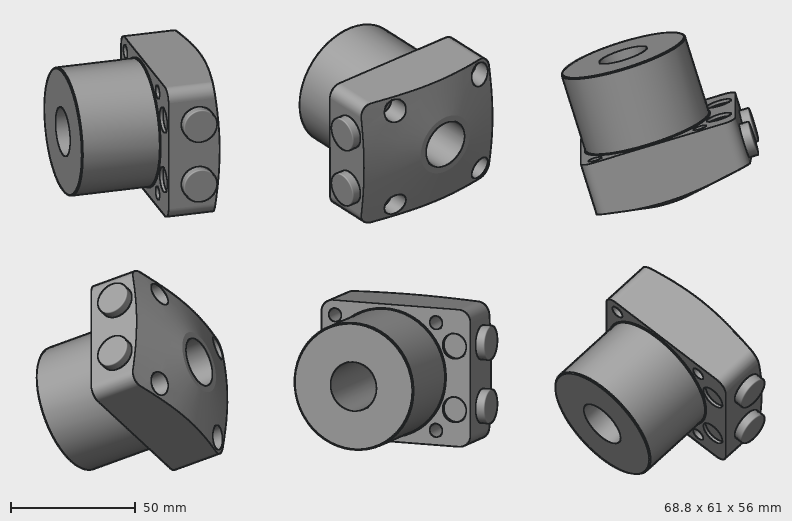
import cadquery as cq
import math


OVERALL_WIDTH = 68.8

BLOCK_WIDTH = 64.95
BLOCK_HEIGHT = 56.0
BLOCK_DEPTH = 28.0
BLOCK_CORNER_RADIUS = 5.0
BLOCK_LEFT_X = -BLOCK_HEIGHT / 2
BLOCK_RIGHT_X = BLOCK_LEFT_X + BLOCK_WIDTH

BACK_FLAT_RADIUS = 12.7
BACK_CONE_ANGLE = 15.0

HUB_RADIUS = 26.0
HUB_LENGTH = 33.0
HUB_END_CHAMFER = 0.5
HUB_ROOT_CHAMFER = 0.4
BORE_DIAMETER = 20.0

MOUNT_SPACING = 43.95
MOUNT_HOLE_DIAMETER = 5.5
COUNTERBORE_DIAMETER = 9.6
COUNTERBORE_FLOOR_Y = 15.0

PLUG_SPACING = 25.95
PLUG_DIAMETER = 14.0
PLUG_LENGTH = OVERALL_WIDTH - BLOCK_WIDTH
PLUG_CENTER_Y = 12.3
PLUG_RIM_FILLET = 0.5
RECESS_X = 30.0
RECESS_DIAMETER = 10.3
RECESS_DEPTH = 1.45

PLUG_HEIGHTS = [-PLUG_SPACING / 2, PLUG_SPACING / 2]


def cylinder_along_y(x, z, diameter, start_y, end_y):
    """Solid cylinder parallel to Y between two Y positions."""
    return (
        cq.Workplane("XZ", origin=(x, start_y, z))
        .circle(diameter / 2)
        .extrude(start_y - end_y)
    )


def make_block():
    """Rounded block whose back is trimmed to a flat-topped cone around the bore axis."""
    block = (
        cq.Workplane("XY")
        .box(BLOCK_WIDTH, BLOCK_DEPTH, BLOCK_HEIGHT, centered=(True, False, True))
        .translate((BLOCK_LEFT_X + BLOCK_WIDTH / 2, 0, 0))
        .edges("|Y")
        .fillet(BLOCK_CORNER_RADIUS)
    )
    envelope_radius = math.hypot(BLOCK_RIGHT_X, BLOCK_HEIGHT / 2)
    cone_drop = (envelope_radius - BACK_FLAT_RADIUS) * math.tan(math.radians(BACK_CONE_ANGLE))
    envelope = (
        cq.Workplane("XY")
        .moveTo(0, 0)
        .lineTo(envelope_radius, 0)
        .lineTo(envelope_radius, BLOCK_DEPTH - cone_drop)
        .lineTo(BACK_FLAT_RADIUS, BLOCK_DEPTH)
        .lineTo(0, BLOCK_DEPTH)
        .close()
        .revolve(360, (0, 0, 0), (0, 1, 0))
    )
    return block.intersect(envelope)


def make_hub():
    """Round hub with a chamfered free end and a small cone where it meets the block."""
    return (
        cq.Workplane("XY")
        .moveTo(0, 0)
        .lineTo(HUB_RADIUS + HUB_ROOT_CHAMFER, 0)
        .lineTo(HUB_RADIUS, -HUB_ROOT_CHAMFER)
        .lineTo(HUB_RADIUS, HUB_END_CHAMFER - HUB_LENGTH)
        .lineTo(HUB_RADIUS - HUB_END_CHAMFER, -HUB_LENGTH)
        .lineTo(0, -HUB_LENGTH)
        .close()
        .revolve(360, (0, 0, 0), (0, 1, 0))
    )


def make_housing():
    """Block and hub in one body, with the bore, mounting holes and shallow recesses cut out."""
    housing = make_block().union(make_hub())
    housing = housing.cut(cylinder_along_y(0, 0, BORE_DIAMETER, -HUB_LENGTH, BLOCK_DEPTH))

    for x in (-MOUNT_SPACING / 2, MOUNT_SPACING / 2):
        for z in (-MOUNT_SPACING / 2, MOUNT_SPACING / 2):
            hole = cylinder_along_y(x, z, MOUNT_HOLE_DIAMETER, 0, BLOCK_DEPTH)
            counterbore = cylinder_along_y(x, z, COUNTERBORE_DIAMETER, COUNTERBORE_FLOOR_Y, BLOCK_DEPTH)
            housing = housing.cut(hole).cut(counterbore)

    for z in PLUG_HEIGHTS:
        housing = housing.cut(cylinder_along_y(RECESS_X, z, RECESS_DIAMETER, 0, RECESS_DEPTH))
    return housing


def make_plug(z):
    """Round plug standing on the block's right side, with a rounded outer rim."""
    return (
        cq.Workplane("YZ", origin=(BLOCK_RIGHT_X, PLUG_CENTER_Y, z))
        .circle(PLUG_DIAMETER / 2)
        .extrude(PLUG_LENGTH)
        .faces(">X")
        .edges()
        .fillet(PLUG_RIM_FILLET)
    )


housing = make_housing()
plugs = [make_plug(z).val() for z in PLUG_HEIGHTS]

result = cq.Compound.makeCompound([housing.val(), *plugs])